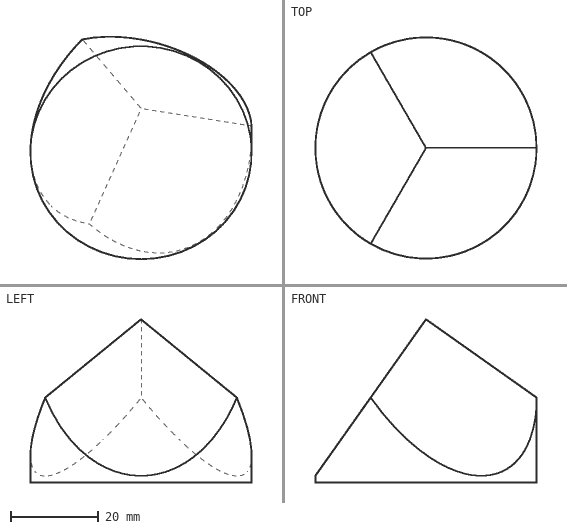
import cadquery as cq
import math

diameter = 50.8
height = 37.5
face_count = 3
first_face_angle = 180.0

radius = diameter / 2
face_slope = math.sqrt(2)
cutter_reach = diameter


def face_cutter(angle):
    """Wedge lying above one sloping face that falls away from the apex at the given angle."""
    rise = cutter_reach * face_slope
    outer_low = (cutter_reach, height - rise)
    inner_high = (-cutter_reach, height + rise)
    outer_high = (cutter_reach, height + rise)
    wedge = (
        cq.Workplane("XZ")
        .polyline([outer_low, outer_high, inner_high])
        .close()
        .extrude(cutter_reach, both=True)
    )
    return wedge.rotate((0, 0, 0), (0, 0, 1), angle)


result = cq.Workplane("XY").circle(radius).extrude(height)
for index in range(face_count):
    face_angle = first_face_angle + index * 360.0 / face_count
    result = result.cut(face_cutter(face_angle))